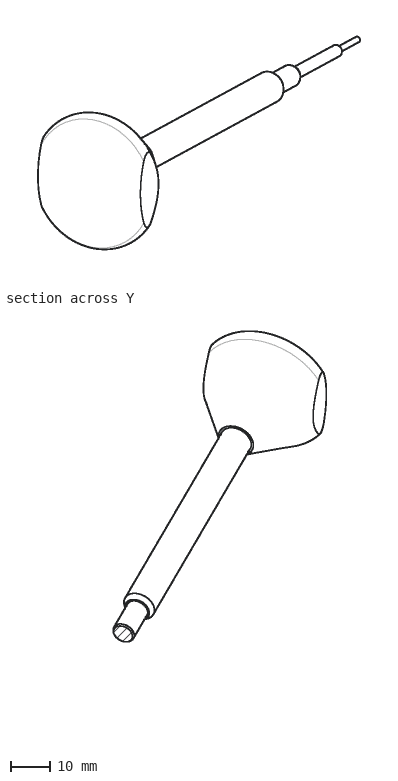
import cadquery as cq
import math

total_length = 144.0

tip_radius = 0.79
blade_radius = 1.6
blade_setback = 10.4
blade_taper_length = 0.5
collar_radius = 2.9
collar_setback = 33.8
collar_chamfer_length = 0.9
collar_chamfer_depth = 0.5
handle_radius = 4.2
handle_setback = 44.2
handle_chamfer_length = 1.5
handle_chamfer_depth = 0.9

head_setback = 113.9
neck_radius = 4.8
head_radius = 18.0
rim_round = 3.0
dome_radius = 25.0
head_width = 30.0

blade_front = total_length - blade_setback
collar_front = total_length - collar_setback
handle_front = total_length - handle_setback
head_front = total_length - head_setback

rim_centre_x = head_radius - rim_round
rim_centre_y = dome_radius - math.sqrt((dome_radius - rim_round) ** 2 - rim_centre_x**2)


def rim_point(angle):
    """Point on the rim arc, at an angle measured from the +X direction toward +Y."""
    x = rim_centre_x + rim_round * math.cos(angle)
    y = rim_centre_y + rim_round * math.sin(angle)
    return x, y


def dome_point(angle):
    """Point on the dome arc, at an angle measured from the head's axis."""
    return dome_radius * math.sin(angle), dome_radius * (1 - math.cos(angle))


dome_edge_angle = math.asin(rim_centre_x / (dome_radius - rim_round))

neck_dx = neck_radius - rim_centre_x
neck_dy = head_front - rim_centre_y
neck_direction = math.atan2(neck_dy, neck_dx)
cone_tangent_angle = neck_direction - math.acos(rim_round / math.hypot(neck_dx, neck_dy))


def revolved_body():
    """Half profile in the XY plane, from the dome to the tip, revolved about Y."""
    profile = (
        cq.Workplane("XY")
        .moveTo(0, 0)
        .threePointArc(dome_point(dome_edge_angle / 2), dome_point(dome_edge_angle))
        .threePointArc(rim_point(0), rim_point(cone_tangent_angle))
        .lineTo(neck_radius, head_front)
        .lineTo(handle_radius, head_front)
        .lineTo(handle_radius, handle_front - handle_chamfer_length)
        .lineTo(handle_radius - handle_chamfer_depth, handle_front)
        .lineTo(collar_radius, handle_front)
        .lineTo(collar_radius, collar_front - collar_chamfer_length)
        .lineTo(collar_radius - collar_chamfer_depth, collar_front)
        .lineTo(blade_radius, collar_front)
        .lineTo(blade_radius, blade_front - blade_taper_length)
        .lineTo(tip_radius, blade_front)
        .lineTo(tip_radius, total_length)
        .lineTo(0, total_length)
        .close()
    )
    return profile.revolve(360, (0, 0, 0), (0, 1, 0))


def flat_sided_envelope():
    """Box whose two X faces trim parallel flats on the head."""
    box = cq.Workplane("XY").box(head_width, total_length, 2 * head_radius)
    return box.translate((0, total_length / 2, 0))


result = revolved_body().intersect(flat_sided_envelope())